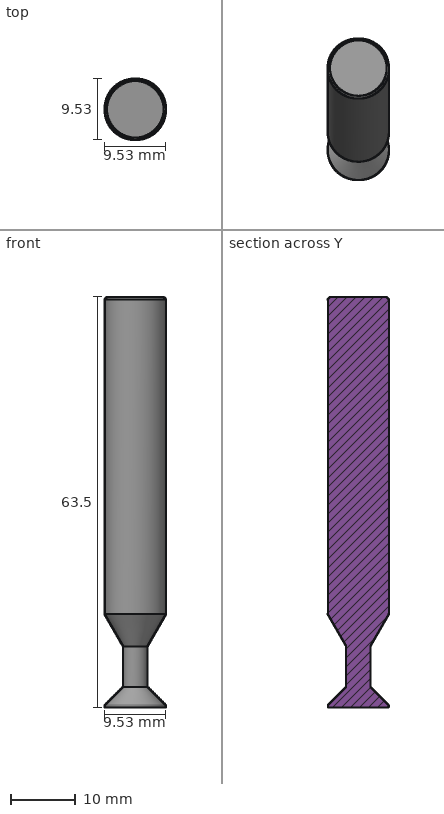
import cadquery as cq
import math

overall_length = 63.5
shank_diameter = 9.525
head_diameter = 9.525
neck_diameter = 3.8
top_chamfer = 0.38
neck_top_height = 9.5
rim_radius = 0.254
head_flank_angle = math.radians(45)
shoulder_angle = math.radians(60)

shank_radius = shank_diameter / 2
head_radius = head_diameter / 2
neck_radius = neck_diameter / 2
shoulder_height = (shank_radius - neck_radius) * math.tan(shoulder_angle)
shank_bottom_height = neck_top_height + shoulder_height

rim_centre_radius = head_radius - rim_radius
flank_start_radius = rim_centre_radius + rim_radius * math.sin(head_flank_angle)
flank_start_height = rim_radius + rim_radius * math.cos(head_flank_angle)
neck_bottom_height = flank_start_height + (flank_start_radius - neck_radius) * math.tan(head_flank_angle)


def make_cutter():
    """Revolve the half profile, from the flat bottom of the head to the top of the shank."""
    profile = (
        cq.Workplane("XZ")
        .lineTo(rim_centre_radius, 0)
        .threePointArc((head_radius, rim_radius), (flank_start_radius, flank_start_height))
        .lineTo(neck_radius, neck_bottom_height)
        .lineTo(neck_radius, neck_top_height)
        .lineTo(shank_radius, shank_bottom_height)
        .lineTo(shank_radius, overall_length - top_chamfer)
        .lineTo(shank_radius - top_chamfer, overall_length)
        .lineTo(0, overall_length)
        .close()
    )
    axis_start = (0, 0, 0)
    axis_end = (0, 1, 0)
    return profile.revolve(360, axis_start, axis_end)


result = make_cutter()